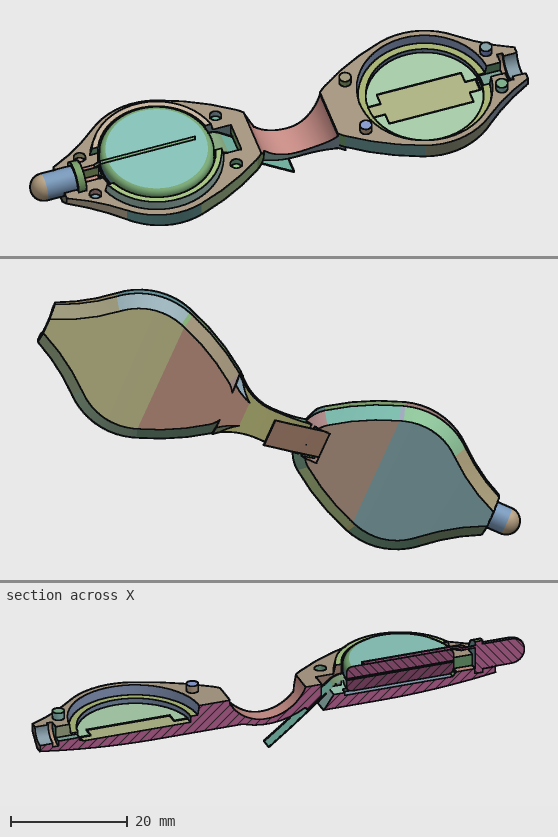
import cadquery as cq
import math


tolerance = 0.001

overall_length = 88.6
overall_height = 13.6
overall_width = 25.4
half_spacing = 24.2
shell_depth = 5.1
shell_radius = overall_width / 2
bulb_end = 17.5
bulb_end_half_width = 3.6
hinge_end = -18.4
shoulder_y = 8.5
neck_point = (6.0, 13.0)
bottom_chamfer = 2.1
belly_start = -4.0
belly_radius = 150.6

strap_half_width = 2.8
strap_top_half_span = 6.9
strap_top_z = -4.8
strap_lid_drop = 0.6
strap_bottom_radius = 13.3
strap_bottom_z = -5.9
flare_y = -16.2
flare_start = half_spacing + flare_y
strap_base_y = -7.5
flare_end = 0.8
flare_half_width = 5.8
flare_chamfer = 1.2

cell_diameter = 19.7
cell_top = 2.4
cell_edge_radius = 1.1
cell_pocket_radius = 10.1
lid_pocket_depth = 2.75
rim_foot_radius = 22.95 / 2
rim_top_radius = 22.2 / 2
rim_height = 1.6
rim_gap_half_width = 4.2
seat_mouth_radius = 23.3 / 2
seat_floor_radius = 22.8 / 2
seat_depth = 1.8
pin_diameter = 2.0
pin_height = 1.3
pin_places = [(4.25, 12.5), (-4.25, 12.5), (5.6, -12.5), (-5.6, -12.5)]

bulb_diameter = 4.8
bulb_tip = overall_length - 2 * half_spacing - bulb_end
flange_diameter = 6.1
flange_front = 15.1
flange_back = 13.65
lid_flange_back = 14.1
wire_diameter = 0.505
wire_bulb_z = 2.0
wire_bend_outer = 11.25
wire_bend_inner = 10.2
wire_end = -6.9
channel_half_width = 1.2
channel_depth = 2.1
contact_depth = 2.9
contact_half_width = 3.4
contact_front = 7.7
contact_back = -7.5
ramp_top = 10.3
ramp_foot = 9.6

strip_width = 4.8
strip_thickness = 0.2
strip_inner_end = 0
strip_bend_start = -10.0
strip_bend_end = -12.1
strip_bend_drop = 0.8
strip_tip = (-24.0, flange_diameter / 2 - overall_height + strip_thickness / 2)
slot_half_width = 2.8
slot_back = -14.35
slot_ceiling = -2.4
slot_outlet_back = -18.7
slot_outlet_front = -14.7
slot_outlet_z = -6.2


def place_lid(shape):
    """Move a shape from the half's own frame to the lid."""
    return shape.translate((0, half_spacing, 0))


def place_base(shape):
    """Move a shape from the half's own frame to the base, turned to face the lid."""
    return shape.rotate((0, 0, 0), (0, 0, 1), 180).translate((0, -half_spacing, 0))


def box_between(x0, x1, y0, y1, z0, z1):
    return cq.Workplane("XY").box(x1 - x0, y1 - y0, z1 - z0, centered=False).translate((x0, y0, z0))


def cylinder_along_y(diameter, y0, y1):
    """A cylinder on the line X = Z = 0."""
    return cq.Workplane("XZ", origin=(0, y0, 0)).circle(diameter / 2).extrude(y0 - y1)


def cone_between(radius0, radius1, z0, z1):
    """A cone or cylinder about Z with radius0 at z0 and radius1 at z1."""
    outline = [(0, z0), (radius0, z0), (radius1, z1), (0, z1)]
    return cq.Workplane("XZ").polyline(outline).close().revolve(360, (0, 0, 0), (0, 1, 0))


def extrude_across(profile, half_width):
    """Extrude a closed YZ profile symmetrically about X = 0."""
    return profile.extrude(half_width, both=True)



def belly_z(y):
    """Height of the underside where it curves up toward the bulb end."""
    run = y - belly_start
    return belly_radius - math.sqrt(belly_radius**2 - run**2) - shell_depth


def shell():
    """A solid case half with a curved belly and a chamfered lower edge."""
    shoulder_x = math.sqrt(shell_radius**2 - shoulder_y**2)
    waist_x = math.sqrt(shell_radius**2 - belly_start**2)
    right_side = (
        cq.Workplane("XY")
        .moveTo(shoulder_x, shoulder_y)
        .threePointArc((shell_radius, 0), (waist_x, belly_start))
        .tangentArcPoint((flare_half_width, flare_y), relative=False)
        .tangentArcPoint((strap_half_width, hinge_end), relative=False)
        .lineTo(0, hinge_end)
        .lineTo(0, bulb_end)
        .lineTo(bulb_end_half_width, bulb_end)
        .threePointArc(neck_point, (shoulder_x, shoulder_y))
        .close()
        .extrude(-shell_depth)
    )
    middle_y = (belly_start + bulb_end) / 2
    profile = (
        cq.Workplane("YZ")
        .moveTo(hinge_end, 0)
        .lineTo(hinge_end, -shell_depth)
        .lineTo(belly_start, -shell_depth)
        .threePointArc((middle_y, belly_z(middle_y)), (bulb_end, belly_z(bulb_end)))
        .lineTo(bulb_end, 0)
        .close()
    )
    right_side = right_side.intersect(extrude_across(profile, shell_radius))

    def is_lower_rim(edge):
        start = edge.startPoint()
        end = edge.endPoint()
        is_upright = abs(start.z - end.z) > bottom_chamfer
        crosses_belly = min(start.x, end.x) < tolerance and max(start.y, end.y) > hinge_end + tolerance
        return edge.Center().z < -bottom_chamfer and not is_upright and not crosses_belly

    lower_rim = [edge for edge in right_side.edges().vals() if is_lower_rim(edge)]
    right_side = right_side.newObject(lower_rim).chamfer(bottom_chamfer)
    return right_side.union(right_side.mirror("YZ"))


def bulb_seat(back):
    """The half-round seat of the bulb and of its flange, whose recess starts at back."""
    seat = cylinder_along_y(bulb_diameter, back, bulb_tip)
    return seat.union(cylinder_along_y(flange_diameter, back, flange_front))


def wire_channel():
    """The slot for the bulb's wire, from the flange to the edge of the cell pocket."""
    profile = (
        cq.Workplane("YZ")
        .moveTo(flange_front, 0)
        .lineTo(flange_front, -channel_depth)
        .lineTo(ramp_top, -channel_depth)
        .lineTo(ramp_foot, -contact_depth)
        .lineTo(contact_front, -contact_depth)
        .lineTo(contact_front, 0)
        .close()
    )
    return extrude_across(profile, channel_half_width)


def contact_recess():
    """The shallow recess in the floor of the cell pocket, with a narrow tail at the hinge end."""
    wide = box_between(-contact_half_width, contact_half_width, contact_back, contact_front,
                       -contact_depth, -cell_top)
    tail = box_between(-channel_half_width, channel_half_width, -cell_pocket_radius, contact_back,
                       -contact_depth, -cell_top)
    inside_pocket = cone_between(cell_pocket_radius, cell_pocket_radius, -contact_depth, -cell_top)
    return wide.union(tail).intersect(inside_pocket)


def cell_pocket(depth):
    return cone_between(cell_pocket_radius, cell_pocket_radius, -depth, rim_height)


def pins(height):
    return cq.Workplane("XY").pushPoints(pin_places).circle(pin_diameter / 2).extrude(height)


def strip_slot():
    """The opening that leads the pull strip from the cell pocket down through the belly."""
    profile = (
        cq.Workplane("YZ")
        .moveTo(-cell_pocket_radius / 2, rim_height)
        .lineTo(slot_back, rim_height)
        .lineTo(slot_back, slot_ceiling)
        .lineTo(slot_outlet_back, slot_outlet_z)
        .lineTo(slot_outlet_front, slot_outlet_z)
        .lineTo(strip_bend_end, -cell_top)
        .lineTo(-cell_pocket_radius / 2, -cell_top)
        .close()
    )
    return extrude_across(profile, slot_half_width)


def lid():
    body = shell().union(pins(pin_height))
    body = body.cut(cone_between(seat_floor_radius, seat_mouth_radius, -seat_depth, 0))
    body = body.cut(cell_pocket(lid_pocket_depth)).cut(contact_recess()).cut(wire_channel())
    return body.cut(bulb_seat(lid_flange_back))


def rim():
    """The raised ring that enters the lid, open in front of the bulb."""
    ring = cone_between(rim_foot_radius, rim_top_radius, 0, rim_height)
    gap = box_between(-rim_gap_half_width, rim_gap_half_width, 0, bulb_end, 0, rim_height)
    return ring.cut(gap)


def base():
    body = shell().union(rim())
    body = body.cut(cell_pocket(cell_top)).cut(contact_recess()).cut(wire_channel())
    body = body.cut(bulb_seat(flange_back)).cut(pins(-pin_height))
    return body.cut(strip_slot())


def strap():
    """The curved hinge strap, flared at the lid; Y = 0 is the middle of the hinge."""
    bottom_axis_z = strap_bottom_z + strap_bottom_radius
    joint_y = math.sqrt(strap_bottom_radius**2 - (bottom_axis_z + shell_depth) ** 2)
    base_z = bottom_axis_z - math.sqrt(strap_bottom_radius**2 - strap_base_y**2)
    profile = (
        cq.Workplane("YZ")
        .moveTo(flare_start, 0)
        .lineTo(flare_start, -shell_depth)
        .lineTo(joint_y, -shell_depth)
        .threePointArc((0, strap_bottom_z), (strap_base_y, base_z))
        .lineTo(strap_base_y, 0)
        .close()
    )
    plan = (
        cq.Workplane("XY", origin=(0, 0, 2 * strap_bottom_z))
        .moveTo(0, strap_base_y)
        .lineTo(strap_half_width, strap_base_y)
        .lineTo(strap_half_width, flare_end)
        .tangentArcPoint((flare_half_width, flare_start), relative=False)
        .lineTo(0, flare_start)
        .close()
        .extrude(-2 * strap_bottom_z)
    )
    plan = plan.union(plan.mirror("YZ"))
    body = extrude_across(profile, shell_radius).intersect(plan)

    def is_flare_foot(edge):
        return edge.geomType() == "CIRCLE" and abs(edge.Center().z + shell_depth) < tolerance

    flare_feet = [edge for edge in body.edges().vals() if is_flare_foot(edge)]
    return body.newObject(flare_feet).chamfer(flare_chamfer)


def make_case():
    hollow = (
        cq.Workplane("YZ")
        .moveTo(-strap_top_half_span, 0)
        .threePointArc((0, strap_top_z), (strap_top_half_span, -strap_lid_drop))
        .lineTo(strap_top_half_span, 0)
        .close()
    )
    body = place_lid(lid()).union(place_base(base())).union(strap())
    return body.cut(extrude_across(hollow, shell_radius))



def make_cell(turn):
    """A coin cell beside the strip, its rounded edge outward: above for turn 0, below for 180."""
    height = cell_top - strip_thickness / 2
    cell = cq.Workplane("XY").circle(cell_diameter / 2).extrude(height)
    cell = cell.faces(">Z").edges().fillet(cell_edge_radius)
    return cell.translate((0, 0, strip_thickness / 2)).rotate((0, 0, 0), (0, 1, 0), turn)



def make_bulb():
    """A round-nosed bulb with a flange and a wire that lies on top of the upper cell."""
    radius = bulb_diameter / 2
    body = cylinder_along_y(bulb_diameter, flange_back, bulb_tip - radius)
    nose = cq.Workplane("XY").sphere(radius).translate((0, bulb_tip - radius, 0))
    flange = cylinder_along_y(flange_diameter, flange_back, flange_front)

    wire_top_z = cell_top + wire_diameter / 2
    path = (
        cq.Workplane("YZ")
        .moveTo(flange_front, wire_bulb_z)
        .lineTo(wire_bend_outer, wire_bulb_z)
        .lineTo(wire_bend_inner, wire_top_z)
        .lineTo(wire_end, wire_top_z)
    )
    wire = (
        cq.Workplane("XZ", origin=(0, flange_front, wire_bulb_z))
        .circle(wire_diameter / 2)
        .sweep(path, transition="right")
    )
    return body.union(nose).union(flange).union(wire)



def make_strip():
    """A thin strip lying between the cells that bends down through the slot in the base."""
    path = (
        cq.Workplane("YZ")
        .moveTo(strip_inner_end, 0)
        .lineTo(strip_bend_start, 0)
        .tangentArcPoint((strip_bend_end, -strip_bend_drop), relative=False)
        .tangentArcPoint(strip_tip, relative=False)
    )
    section = cq.Workplane("XZ", origin=(0, strip_inner_end, 0)).rect(strip_width, strip_thickness)
    return section.sweep(path)


case = make_case()
cells = [place_base(make_cell(turn)) for turn in (0, 180)]
bulb = place_base(make_bulb())
strip = place_base(make_strip())

result = cq.Compound.makeCompound(
    [case.val(), *[cell.val() for cell in cells], bulb.val(), strip.val()]
)